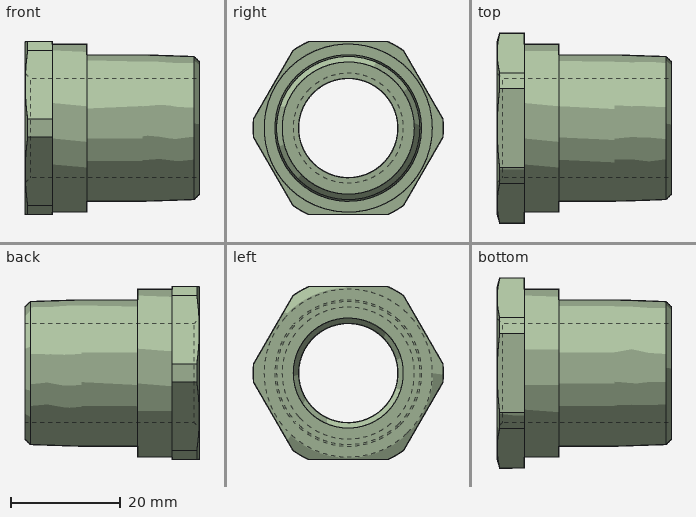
import cadquery as cq
import math

head_length = 5.0
collar_end = 11.3
straight_end = 21.47
total_length = 31.8

across_flats = 31.5
corner_diameter = 34.63
face_diameter = 30.95
head_bevel_length = 0.52

collar_diameter = 30.58
body_diameter = 26.65
taper_end_diameter = 26.05
tip_chamfer = 1.0

bore_diameter = 18.0
bore_chamfer = 1.0


def revolve_about_x(points):
    """Revolve a closed (x, radius) outline about the X axis."""
    profile = cq.Workplane("XY").polyline(points).close()
    return profile.revolve(360, (0, 0, 0), (1, 0, 0))


def make_head():
    """Hexagon with flats facing Z, its corners rounded and front edge bevelled."""
    across_corners = across_flats / math.cos(math.pi / 6)
    hexagon = cq.Workplane("YZ").polygon(6, across_corners).extrude(head_length)
    corner_limit = revolve_about_x([
        (0, 0),
        (0, face_diameter / 2),
        (head_bevel_length, corner_diameter / 2),
        (head_length, corner_diameter / 2),
        (head_length, 0),
    ])
    return hexagon.intersect(corner_limit)


def make_shank():
    """Collar, straight body and slightly tapered end with a chamfered tip."""
    taper_end = total_length - tip_chamfer
    return revolve_about_x([
        (head_length, 0),
        (head_length, collar_diameter / 2),
        (collar_end, collar_diameter / 2),
        (collar_end, body_diameter / 2),
        (straight_end, body_diameter / 2),
        (taper_end, taper_end_diameter / 2),
        (total_length, taper_end_diameter / 2 - tip_chamfer),
        (total_length, 0),
    ])


def make_bore():
    """Through bore with a 45 degree chamfer at the head face."""
    bore_radius = bore_diameter / 2
    return revolve_about_x([
        (0, 0),
        (0, bore_radius + bore_chamfer),
        (bore_chamfer, bore_radius),
        (total_length, bore_radius),
        (total_length, 0),
    ])


result = make_head().union(make_shank()).cut(make_bore())